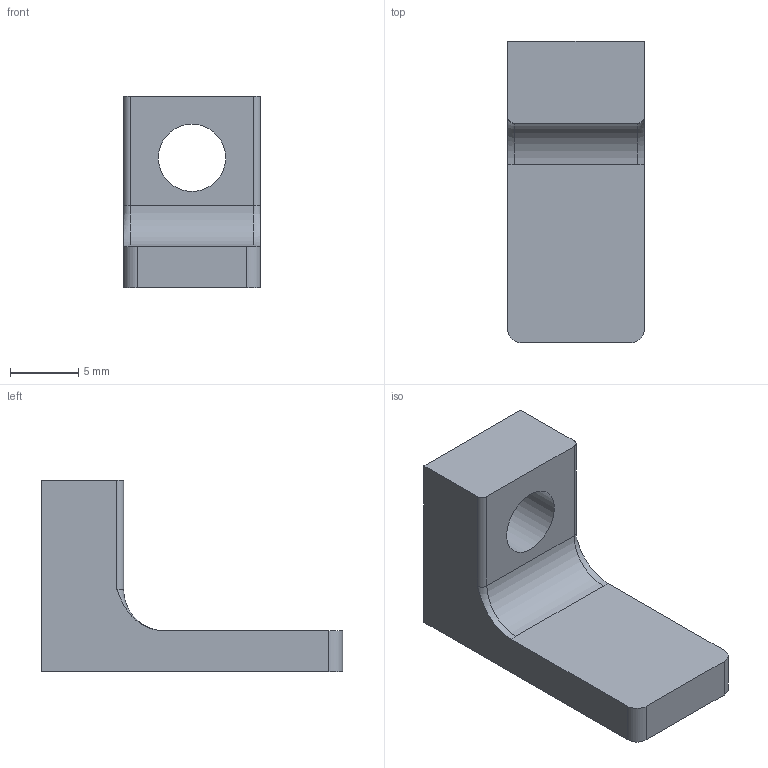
import cadquery as cq

WIDTH = 10.0
LENGTH = 22.0
HEIGHT = 14.0
PLATE_THICKNESS = 3.0
WALL_THICKNESS = 6.0
INNER_FILLET = 3.0
WALL_EDGE_RADIUS = 0.5
PLATE_CORNER_RADIUS = 1.0
HOLE_DIAMETER = 4.92
HOLE_HEIGHT = 9.5

WALL_FRONT = LENGTH - WALL_THICKNESS

TRIM_MARGIN = 2 * INNER_FILLET


def block(width, y_start, y_end, height):
    """Box centred on X, standing on Z = 0."""
    return (
        cq.Workplane("XY")
        .box(width, y_end - y_start, height, centered=(True, False, False))
        .translate((0, y_start, 0))
    )


def filleted_bracket():
    """Rounded wall on a wide plate, so the inner fillet can roll around the wall edges."""
    wide_plate = block(WIDTH + 2 * TRIM_MARGIN, 0, LENGTH + TRIM_MARGIN, PLATE_THICKNESS)
    wall = block(WIDTH, WALL_FRONT, LENGTH, HEIGHT).edges("|Z and <Y").fillet(WALL_EDGE_RADIUS)
    wall_foot = cq.selectors.BoxSelector(
        (-WIDTH, WALL_FRONT - WALL_EDGE_RADIUS, PLATE_THICKNESS / 2),
        (WIDTH, LENGTH + WALL_EDGE_RADIUS, PLATE_THICKNESS + WALL_EDGE_RADIUS),
    )
    return wide_plate.union(wall).edges(wall_foot).fillet(INNER_FILLET)


def outer_envelope():
    """Full-height block with the rounded free corners of the plate."""
    return block(WIDTH, 0, LENGTH, HEIGHT).edges("|Z and <Y").fillet(PLATE_CORNER_RADIUS)


def wall_hole():
    """Round cutter along Y through the wall."""
    return (
        cq.Workplane("XZ", origin=(0, LENGTH, HOLE_HEIGHT))
        .circle(HOLE_DIAMETER / 2)
        .extrude(WALL_THICKNESS)
    )


result = filleted_bracket().intersect(outer_envelope()).cut(wall_hole())